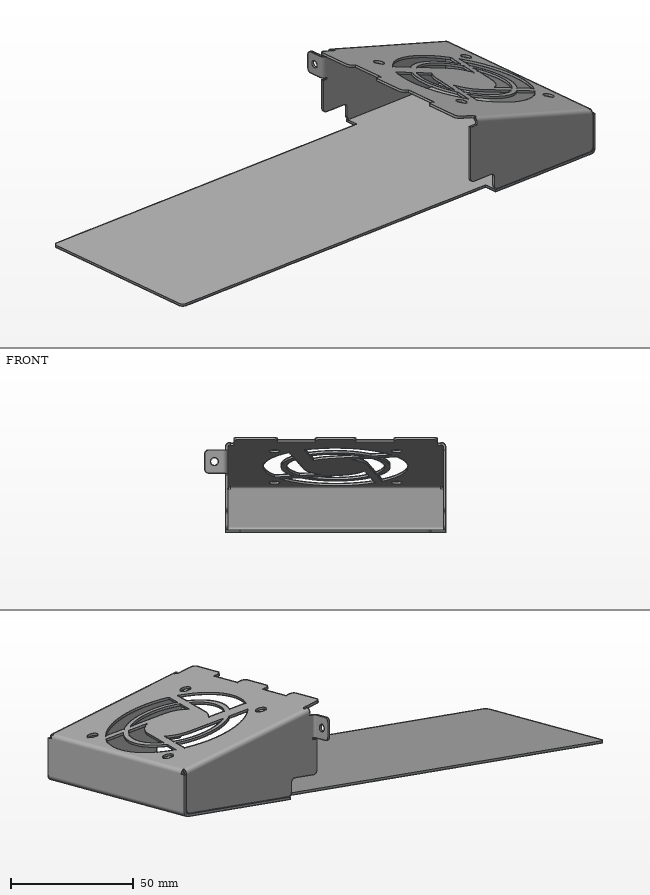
import cadquery as cq
import math


sheet = 1.0
inner_bend = 1.0
outer_bend = inner_bend + sheet
gap = 0.2
corner = 2.0

body_width = 90.0
length = 223.0
height = 38.8
half_width = body_width / 2

tongue_width = 78.0
wide_floor_length = 55.0

slope = 15.0
roof_reach = 73.4
lip_width = 83.2
side_fold_end = 65.3
notch_width = 15.4
notch_offset = 16.0
notch_bottom = 69.5
relief_corner = 1.1

wall_front = 69.0
wall_front_top = 33.7
wall_step = 55.8
wall_step_height = 8.7
wall_corner = 1.8

tab_reach = 8.5
tab_height = 9.5
tab_hole_diameter = 3.1
tab_hole_offset = 4.5
tab_corner = 1.8
tab_relief = 0.7

fan_center = 31.5
fan_radius = 29.7
ring_outer_radius = 22.3
ring_inner_radius = 20.0
hub_radius = 13.4
spoke_tilt = 13.0
spoke_width = 3.3
wide_spoke_width = 7.0
screw_spacing = 50.0
screw_diameter = 4.5

sin_slope = math.sin(math.radians(slope))
cos_slope = math.cos(math.radians(slope))
tan_slope = math.tan(math.radians(slope))
roof_back_z = height - (roof_reach - sheet * sin_slope) * tan_slope
roof_length = (roof_reach - sheet * sin_slope) / cos_slope
roof_fold_setback = outer_bend * math.tan(math.radians((90 - slope) / 2))
back_wall_top = roof_back_z - roof_fold_setback
flat_half_width = half_width - outer_bend
cut_depth = 4 * sheet


def roof_top(y):
    """Height of the roof's upper surface above a given Y."""
    return roof_back_z + y * tan_slope


def on_roof(solid):
    """Move a solid from flat coordinates (Y along the slope, Z = 0 on top) onto the roof."""
    return solid.rotate((0, 0, 0), (1, 0, 0), slope).translate((0, 0, roof_back_z))


def box(x_range, y_range, z_range):
    size = [end - start for start, end in (x_range, y_range, z_range)]
    start = (x_range[0], y_range[0], z_range[0])
    return cq.Workplane("XY").box(*size, centered=False).translate(start)


def fold(solid, outside, inside):
    """Round the two edges along X of a fold, given as (Y, Z) points."""
    for point, radius in ((outside, outer_bend), (inside, inner_bend)):
        edge = cq.selectors.NearestToPointSelector((0, *point))
        solid = solid.edges("|X").edges(edge).fillet(radius)
    return solid


def floor_and_back():
    floor = box((-half_width, half_width), (0, wide_floor_length), (0, sheet))
    back = box((-half_width, half_width), (0, sheet), (0, back_wall_top))
    folded = fold(floor.union(back), (0, 0), (sheet, sheet))
    tongue = box((-tongue_width / 2, tongue_width / 2), (outer_bend, length), (0, sheet))
    tongue = tongue.edges("|Z and >Y").fillet(corner)
    return folded.union(tongue)


def roof_blank():
    """Flat roof with its fold into the back wall, before any cutting."""
    under_back_z = roof_top(sheet) - sheet / cos_slope
    front_top_y = roof_reach - sheet * sin_slope
    section = [
        (0, back_wall_top - outer_bend),
        (0, roof_back_z),
        (front_top_y, height),
        (roof_reach, height - sheet * cos_slope),
        (sheet, under_back_z),
        (sheet, back_wall_top - outer_bend),
    ]
    blank = cq.Workplane("YZ").polyline(section).close().extrude(flat_half_width, both=True)
    return fold(blank, (0, roof_back_z), (sheet, under_back_z))


def front_edge_cuts():
    """Front corner reliefs and the two notches in the roof's front edge."""
    beyond = roof_length + sheet
    lip_half = lip_width / 2
    relief_width = half_width - sheet - lip_half
    relief_end = side_fold_end / cos_slope
    cuts = cq.Workplane("XY")
    for side in (-1, 1):
        relief = (
            cq.Workplane("XY")
            .box(relief_width, beyond - relief_end + relief_width / 2, cut_depth)
            .edges("|Z and <Y")
            .fillet(relief_corner)
            .translate((
                side * (lip_half + relief_width / 2),
                (beyond + relief_end - relief_width / 2) / 2,
                0,
            ))
        )
        notch_start = notch_bottom / cos_slope
        notch = (
            cq.Workplane("XY")
            .box(notch_width, beyond - notch_start, cut_depth)
            .translate((side * notch_offset, (beyond + notch_start) / 2, 0))
        )
        cuts = cuts.add(relief).add(notch)
    return cuts.combine()


def disc(radius):
    return cq.Workplane("XY").circle(radius).extrude(cut_depth / 2, both=True)


def grille_openings():
    """Fan opening less its hub, ring and four spokes tangent to the hub."""
    bars = disc(hub_radius).union(disc(ring_outer_radius).cut(disc(ring_inner_radius)))
    for turn, width in enumerate((spoke_width, wide_spoke_width, spoke_width, spoke_width)):
        spoke = box((-fan_radius, 0), (-hub_radius, width - hub_radius), (-cut_depth, cut_depth))
        bars = bars.union(spoke.rotate((0, 0, 0), (0, 0, 1), spoke_tilt - 90 * turn))
    screws = (
        cq.Workplane("XY")
        .rect(screw_spacing, screw_spacing, forConstruction=True)
        .vertices()
        .circle(screw_diameter / 2)
        .extrude(cut_depth / 2, both=True)
    )
    return disc(fan_radius).cut(bars).union(screws).translate((0, fan_center / cos_slope, 0))


def tip_edges():
    """Selector for edges that run through the thickness of the roof."""
    return cq.selectors.ParallelDirSelector(cq.Vector(0, -sin_slope, cos_slope))


def roof():
    plate = roof_blank().cut(on_roof(front_edge_cuts()))
    lip_corners = [lip_width / 2]
    lip_corners += [notch_offset + notch_width / 2, notch_offset - notch_width / 2]
    for x in lip_corners + [-x for x in lip_corners]:
        tip = cq.selectors.NearestToPointSelector((x, roof_reach, height))
        plate = plate.edges(tip_edges()).edges(tip).fillet(corner)
    return plate.cut(on_roof(grille_openings()))


def side_walls():
    """Side walls with the folds that join them to the roof."""
    leg = height + outer_bend
    run = (-leg * sin_slope, roof_length)
    outer = (
        box((-half_width, half_width), run, (-leg, 0))
        .edges("|Y and >Z")
        .fillet(outer_bend)
    )
    inner = (
        box((sheet - half_width, half_width - sheet), run, (-leg, -sheet))
        .edges("|Y and >Z")
        .fillet(inner_bend)
    )
    core = box((-flat_half_width, flat_half_width), run, (-leg, 0))
    folds = on_roof(outer.cut(inner).cut(core))
    start = sheet + gap
    outline = [
        (start, start),
        (wall_step, start),
        (wall_step, wall_step_height),
        (wall_front, wall_step_height),
        (wall_front, wall_front_top),
        (side_fold_end, wall_front_top),
        (side_fold_end, height),
        (start, height),
    ]
    profile = cq.Workplane("YZ").polyline(outline).close().extrude(half_width, both=True)
    rounded = [(start, start)] + outline[1:4]
    for y, z in rounded:
        profile = profile.edges(cq.selectors.NearestToPointSelector((0, y, z))).fillet(wall_corner)
    return folds.intersect(profile)


def mounting_tab():
    """Tab folded outward from the front edge of the left wall."""
    outside = -half_width
    bottom = wall_front_top - tab_height
    tip = outside - tab_reach
    bend_x = outside - inner_bend
    bend_y = wall_front - outer_bend
    middle = bottom + tab_height / 2
    plate = (
        box((tip, bend_x), (wall_front - sheet, wall_front), (bottom, wall_front_top))
        .edges("|Y and <X")
        .fillet(tab_corner)
    )
    bend = (
        cq.Workplane("XY", origin=(bend_x, bend_y, bottom))
        .moveTo(inner_bend, 0)
        .lineTo(outer_bend, 0)
        .radiusArc((0, outer_bend), -outer_bend)
        .lineTo(0, inner_bend)
        .radiusArc((inner_bend, 0), inner_bend)
        .close()
        .extrude(tab_height)
    )
    hole = (
        cq.Workplane("XZ", origin=(outside - tab_hole_offset, wall_front, middle))
        .circle(tab_hole_diameter / 2)
        .extrude(outer_bend, both=True)
    )
    return plate.union(bend).cut(hole)


def tab_clearance():
    """Space for the tab fold and the relief slit beneath it."""
    x_range = (-half_width - sheet, -half_width + 2 * sheet)
    y_range = (wall_front - outer_bend, wall_front + sheet)
    z_range = (wall_front_top - tab_height - tab_relief, wall_front_top + sheet)
    return box(x_range, y_range, z_range)


walls = side_walls().cut(tab_clearance()).union(mounting_tab())
bracket = floor_and_back().union(roof()).union(walls)
result = bracket.mirror("XZ")